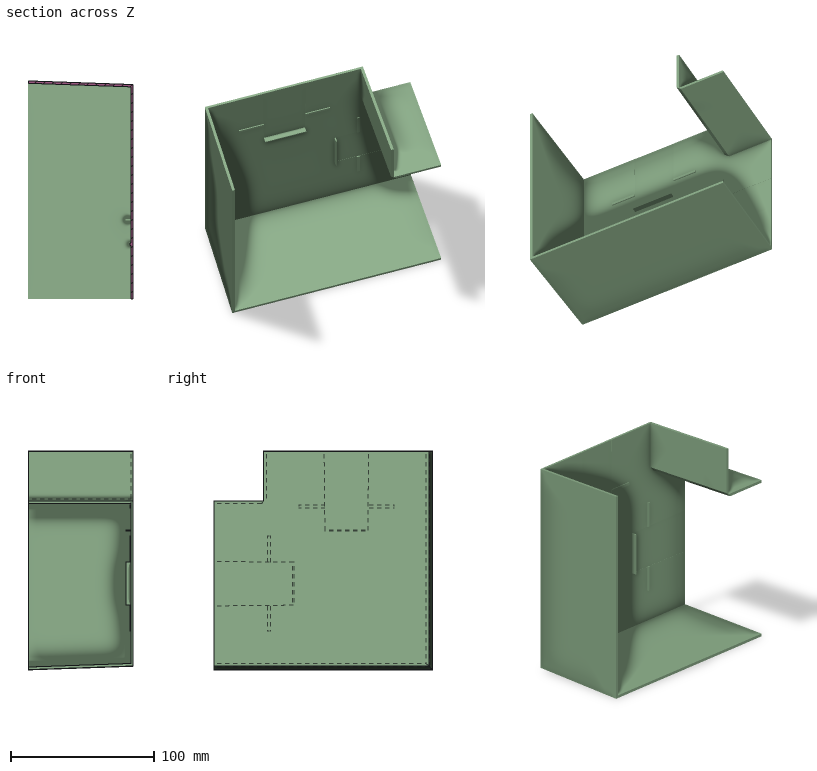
import cadquery as cq
import math

depth = 73.0
side = 152.55
arm_width = 117.95
wall = 2.0
plate_thickness = 1.6
draft_angle = 2.0
corner_chamfer = 3.4

tongue_length = 55.0
tongue_root_width = 31.0
tongue_tip_width = 30.0
tongue_recess = 0.1
tongue_axis = 60.15
lip_height = 3.5
lip_thickness = 0.8

rib_length = 66.3
rib_width = 2.0
rib_height = 0.7
rib_setback = 38.5

plate_face = depth - plate_thickness
draft_slope = math.tan(math.radians(draft_angle))
draft_inset = wall / math.cos(math.radians(draft_angle))
inner_arm_width = arm_width - wall
rib_level = side - rib_setback
tongue_tip = side - tongue_length
lip_level = tongue_tip - lip_thickness / 2


def l_wire(x, inset, width):
    """L outline at depth x, with its two drafted outer sides moved in by `inset`.

    `width` locates the two undrafted inner sides of the arms.
    """
    edge = inset + x * draft_slope
    points = [
        (-edge, edge),
        (-edge, side),
        (-width, side),
        (-width, width),
        (-side, width),
        (-side, edge),
    ]
    return cq.Workplane("YZ", origin=(x, 0, 0)).polyline(points).close().val()


def l_body(height, inset, width):
    """Drafted L-shaped solid from X = 0 to X = height."""
    wires = [l_wire(0, inset, width), l_wire(height, inset, width)]
    return cq.Workplane(cq.Solid.makeLoft(wires, True))


def inner_corner_bevel():
    """Prism that bevels the inside of the re-entrant corner."""
    points = [
        (-inner_arm_width, inner_arm_width),
        (-inner_arm_width, inner_arm_width + corner_chamfer),
        (-inner_arm_width - corner_chamfer, inner_arm_width),
    ]
    return cq.Workplane("YZ").polyline(points).close().extrude(plate_face)


def plate_block(width, thickness, height, level):
    """Block standing on the +Z arm's tongue floor, centred on the tongue axis at Z = level."""
    block = cq.Workplane("XY").box(
        height + tongue_recess, width, thickness, centered=(False, True, True)
    )
    return block.translate((plate_face - height, -tongue_axis, level))


def tongue_pocket():
    """Tapered pocket in the +Z arm that clears the rib and sinks into the plate."""
    root_half = tongue_root_width / 2
    tip_half = tongue_tip_width / 2
    points = [
        (-tongue_axis - root_half, side),
        (-tongue_axis + root_half, side),
        (-tongue_axis + tip_half, tongue_tip),
        (-tongue_axis - tip_half, tongue_tip),
    ]
    plane = cq.Workplane("YZ", origin=(plate_face - rib_height, 0, 0))
    return plane.polyline(points).close().extrude(rib_height + tongue_recess)


def both_arms(feature):
    """A feature of the +Z arm and its mirror image on the -Y arm."""
    diagonal_normal = cq.Vector(0, 1, 1)
    return feature, feature.mirror(diagonal_normal)


cavity = l_body(plate_face, draft_inset, inner_arm_width)
result = l_body(depth, 0, arm_width).cut(cavity).cut(inner_corner_bevel())

for rib in both_arms(plate_block(rib_length, rib_width, rib_height, rib_level)):
    result = result.union(rib)
for pocket in both_arms(tongue_pocket()):
    result = result.cut(pocket)
for lip in both_arms(plate_block(tongue_tip_width, lip_thickness, lip_height, lip_level)):
    result = result.union(lip)